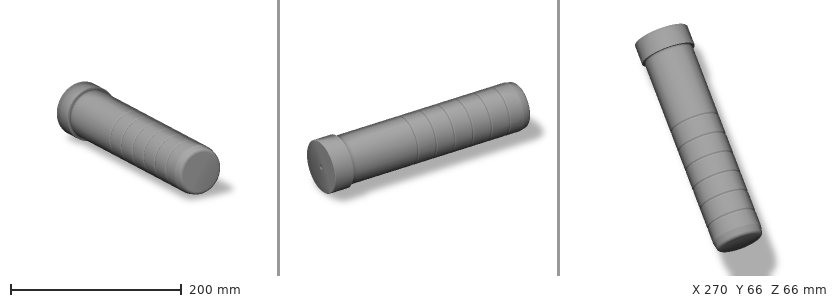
import cadquery as cq
import math

length = 270.0
head_diameter = 66.0
head_length = 24.8
head_chamfer = 0.5
shaft_diameter = 60.0
shaft_radius = shaft_diameter / 2

relief_depth = 0.5
relief_flat = 1.4
relief_width = 2.2

groove_count = 6
first_groove_x = 115.0
last_groove_x = 240.0
groove_pitch = (last_groove_x - first_groove_x) / (groove_count - 1)
groove_width = 3.2
groove_depth = 0.8

taper_start_x = 259.5
nose_start_x = 266.8
taper_drop = 1.5
nose_drop = 5.7

countersink_diameter = 6.8
pilot_diameter = 3.2
pilot_depth = 8.0
countersink_angle = 60
drill_tip_angle = 118


def pin_body():
    """Revolve the head, relief, shaft and lead-in about the X axis."""
    nose_start_radius = shaft_radius - taper_drop
    end_radius = shaft_radius - nose_drop
    nose_run = length - nose_start_x
    nose_rise = nose_start_radius - end_radius
    arc_radius = (nose_run**2 + nose_rise**2) / (2 * nose_run)
    half_angle = math.atan2(nose_rise, arc_radius - nose_run) / 2
    nose_middle = (
        length - arc_radius + arc_radius * math.cos(half_angle),
        end_radius + arc_radius * math.sin(half_angle),
    )
    relief_radius = shaft_radius - relief_depth
    return (
        cq.Workplane("XY")
        .lineTo(0, head_diameter / 2 - head_chamfer)
        .lineTo(head_chamfer, head_diameter / 2)
        .lineTo(head_length, head_diameter / 2)
        .lineTo(head_length, relief_radius)
        .lineTo(head_length + relief_flat, relief_radius)
        .lineTo(head_length + relief_width, shaft_radius)
        .lineTo(taper_start_x, shaft_radius)
        .lineTo(nose_start_x, nose_start_radius)
        .threePointArc(nose_middle, (length, end_radius))
        .lineTo(length, 0)
        .close()
        .revolve(360, (0, 0, 0), (1, 0, 0))
    )


def lubrication_groove(center_x):
    """Ring that cuts one V groove around the shaft."""
    half_width = groove_width / 2
    outside_radius = head_diameter / 2
    return (
        cq.Workplane("XY")
        .moveTo(center_x - half_width, outside_radius)
        .lineTo(center_x - half_width, shaft_radius)
        .lineTo(center_x, shaft_radius - groove_depth)
        .lineTo(center_x + half_width, shaft_radius)
        .lineTo(center_x + half_width, outside_radius)
        .close()
        .revolve(360, (0, 0, 0), (1, 0, 0))
    )


def centre_hole():
    """Centre-drill shape entering the head face."""
    countersink_radius = countersink_diameter / 2
    pilot_radius = pilot_diameter / 2
    countersink_slope = math.tan(math.radians(countersink_angle / 2))
    countersink_depth = (countersink_radius - pilot_radius) / countersink_slope
    tip_length = pilot_radius / math.tan(math.radians(drill_tip_angle / 2))
    return (
        cq.Workplane("XY")
        .lineTo(0, countersink_radius)
        .lineTo(countersink_depth, pilot_radius)
        .lineTo(pilot_depth, pilot_radius)
        .lineTo(pilot_depth + tip_length, 0)
        .close()
        .revolve(360, (0, 0, 0), (1, 0, 0))
    )


result = pin_body().cut(centre_hole())
for index in range(groove_count):
    result = result.cut(lubrication_groove(first_groove_x + index * groove_pitch))